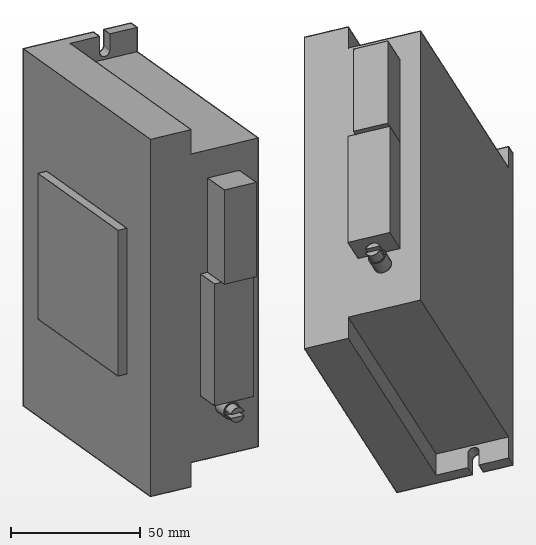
import cadquery as cq

housing_width = 98.0
housing_depth = 48.0
housing_height = 151.0

pad_side = 61.6
pad_thickness = 4.0

flange_thickness = 4.8
recess_depth_y = 29.9
recess_height = 10.3

mount_slot_width = 4.5
mount_slot_length = 9.0
mount_slot_from_back = 14.5

connector_from_back = 8.5
upper_length = 13.0
upper_depth = 14.2
upper_from_top = 22.0
upper_height = 39.9
lower_length = 10.9
lower_depth = 17.4
lower_height = 51.5

adjuster_from_top = 119.6
adjuster_base_diameter = 7.1
adjuster_base_length = 6.3
adjuster_tip_diameter = 6.0
adjuster_length = 10.9
driver_slot_width = 1.7
driver_slot_depth = 3.8

housing_top = housing_height / 2
connector_top = housing_top - upper_from_top
connector_joint = connector_top - upper_height


def box_between(low_corner, high_corner):
    """Axis-aligned box spanning two opposite corners."""
    sizes = [high - low for low, high in zip(low_corner, high_corner)]
    return cq.Workplane("XY").box(*sizes, centered=False).translate(low_corner)


def make_end_recess():
    """Top-end recess, open at the back and on the right."""
    return box_between(
        (flange_thickness, -recess_depth_y, housing_top - recess_height),
        (housing_width, 0, housing_top),
    )


def make_mount_slot():
    """Top-end slot through the flange with a round inner end."""
    radius = mount_slot_width / 2
    arc_center_z = housing_top - mount_slot_length + radius
    straight = box_between(
        (0, -mount_slot_from_back - radius, arc_center_z),
        (flange_thickness, -mount_slot_from_back + radius, housing_top),
    )
    round_end = (
        cq.Workplane("YZ")
        .center(-mount_slot_from_back, arc_center_z)
        .circle(radius)
        .extrude(flange_thickness)
    )
    return straight.union(round_end)


def make_housing():
    """Housing with its front pad, end recesses and flange slots."""
    body = box_between((0, -housing_depth, -housing_top), (housing_width, 0, housing_top))
    pad_left = (housing_width - pad_side) / 2
    pad = box_between(
        (pad_left, -housing_depth - pad_thickness, -pad_side / 2),
        (pad_left + pad_side, -housing_depth, pad_side / 2),
    )
    body = body.union(pad)
    for cutter in (make_end_recess(), make_mount_slot()):
        body = body.cut(cutter).cut(cutter.mirror("XY"))
    return body


def make_connector(length, depth, height, top):
    """Connector block standing on the right face of the housing."""
    return box_between(
        (housing_width, -connector_from_back - depth, top - height),
        (housing_width + length, -connector_from_back, top),
    )


def make_adjuster():
    """Stepped round adjuster with a screwdriver slot across its tip."""
    center_y = -connector_from_back - upper_depth / 2
    center_z = housing_top - adjuster_from_top
    base_plane = cq.Workplane("YZ", origin=(housing_width, center_y, center_z))
    base = base_plane.circle(adjuster_base_diameter / 2).extrude(adjuster_base_length)
    tip = base_plane.circle(adjuster_tip_diameter / 2).extrude(adjuster_length)
    slot = (
        base_plane.workplane(offset=adjuster_length - driver_slot_depth)
        .rect(adjuster_tip_diameter, driver_slot_width)
        .extrude(driver_slot_depth)
    )
    return base.union(tip).cut(slot)


housing = make_housing().solids()
upper_connector = make_connector(upper_length, upper_depth, upper_height, connector_top)
lower_connector = make_connector(lower_length, lower_depth, lower_height, connector_joint)
adjuster = make_adjuster().solids()

result = cq.Compound.makeCompound(
    [housing.val(), upper_connector.val(), lower_connector.val(), adjuster.val()]
)